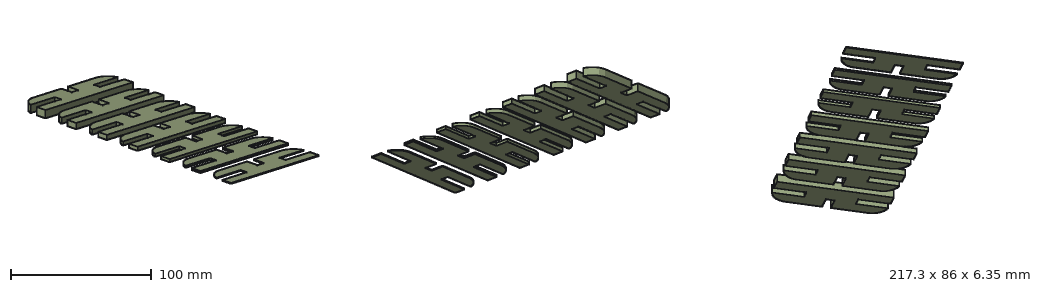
import cadquery as cq

INCH = 25.4

THICKNESSES = [INCH / 4, INCH * 3 / 16, INCH * 5 / 32, INCH / 8, INCH * 3 / 32, INCH / 16, INCH / 32]

WIDTH = INCH
LENGTH = 85.99
CORNER_RADIUS = INCH / 2

SLOT_WIDTH = INCH / 4
SLOT_LEFT = 10.05
SLOT_END_SPACING = 1.5 * INCH
SLOT_DEPTH = (LENGTH - SLOT_END_SPACING) / 2
NOTCH_WIDTH = INCH / 4
NOTCH_DEPTH = 10.7

PITCH = 1.25 * INCH
ROW_LENGTH = 217.27
EXTRA_GAP = ROW_LENGTH - WIDTH - (len(THICKNESSES) - 1) * PITCH
SHIMS_BEFORE_EXTRA_GAP = 4


def box(x_start, y_center, width, length, height):
    """Box standing on the XY plane, starting at x_start and centred on y_center."""
    return (
        cq.Workplane("XY")
        .box(width, length, height, centered=(False, True, False))
        .translate((x_start, y_center, 0))
    )


def make_shim(thickness):
    """Flat shim with two rounded left corners, two end slots and a side notch."""
    shim = box(0, 0, WIDTH, LENGTH, thickness).edges("|Z and <X").fillet(CORNER_RADIUS)
    for end in (-1, 1):
        slot_center = end * (LENGTH - SLOT_DEPTH) / 2
        shim = shim.cut(box(SLOT_LEFT, slot_center, SLOT_WIDTH, SLOT_DEPTH, thickness))
    return shim.cut(box(0, 0, NOTCH_DEPTH, NOTCH_WIDTH, thickness))


def shim_position(index):
    """X of the rounded side of the shim with this index."""
    position = index * PITCH
    if index >= SHIMS_BEFORE_EXTRA_GAP:
        position += EXTRA_GAP
    return position


shims = []
for index, thickness in enumerate(THICKNESSES):
    shim = make_shim(thickness).translate((shim_position(index), 0, 0))
    shims.append(shim.val())

result = cq.Compound.makeCompound(shims)